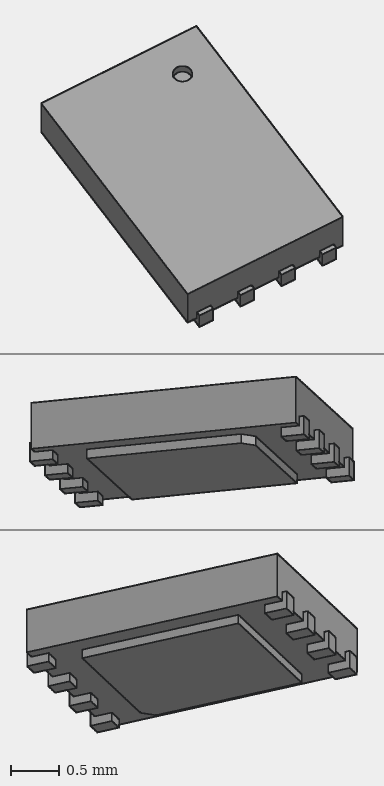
import cadquery as cq

length = 3.0
width = 1.9
height = 0.6

standoff = 0.1
lead_projection = 0.05
body_length = length - 2 * lead_projection
body_height = height - standoff

lead_length = 0.25
lead_width = 0.168
lead_height = 0.2
lead_pitch = 0.5
leads_per_side = 4

pad_length = 1.805
pad_width = 1.5
pad_bevel = 0.12

dimple_diameter = 0.2
dimple_depth = 0.1
dimple_x = -1.0
dimple_y = 0.5


def make_block(size_x, size_y, size_z, base_z):
    """Box centred on the Z axis, standing on base_z."""
    block = cq.Workplane("XY").box(size_x, size_y, size_z, centered=(True, True, False))
    return block.translate((0, 0, base_z))


def make_body():
    body = make_block(body_length, width, body_height, standoff)
    dimple = (
        cq.Workplane("XY", origin=(dimple_x, dimple_y, height))
        .circle(dimple_diameter / 2)
        .extrude(-dimple_depth)
    )
    return body.cut(dimple)


def make_pad():
    pad = make_block(pad_length, pad_width, standoff, 0)
    return pad.edges("|Z").edges("<X and >Y").chamfer(pad_bevel)


def make_leads():
    lead_x = (length - lead_length) / 2
    first_y = -lead_pitch * (leads_per_side - 1) / 2
    centres = [
        (side * lead_x, first_y + index * lead_pitch)
        for side in (-1, 1)
        for index in range(leads_per_side)
    ]
    return cq.Workplane("XY").pushPoints(centres).rect(lead_length, lead_width).extrude(lead_height)


result = make_body().union(make_pad()).union(make_leads())